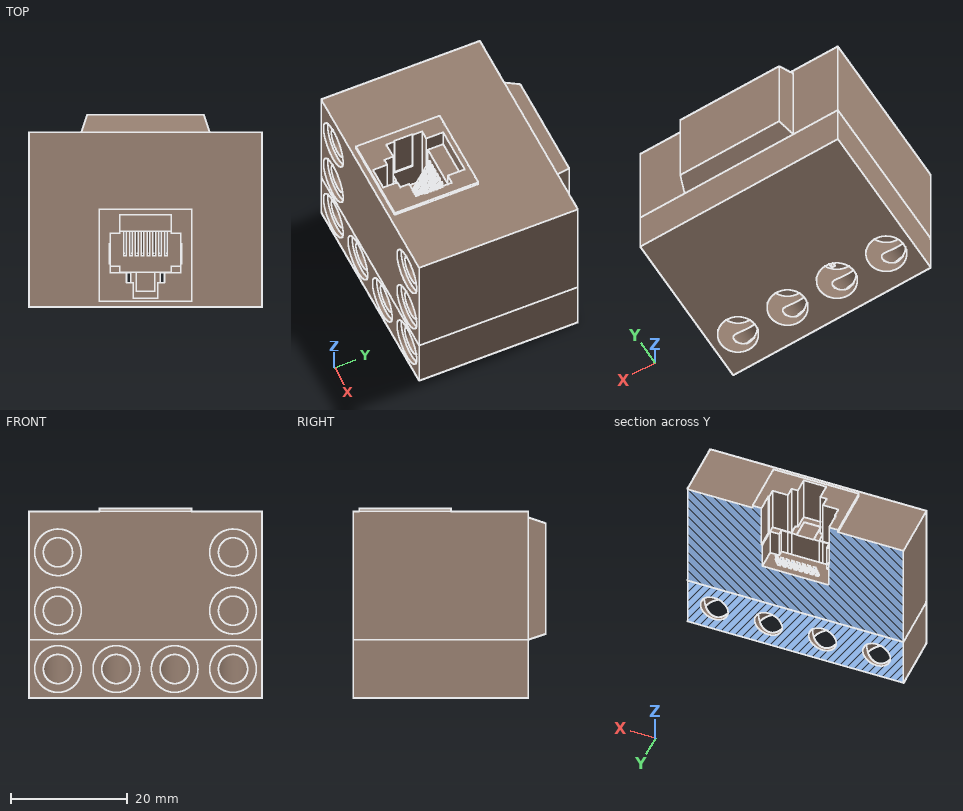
import cadquery as cq
import math

width = 40.0
depth = 30.0
base_height = 10.0
housing_height = 22.0
housing_top = base_height + housing_height

plug_width = 22.0
plug_height = 21.0
plug_length = 3.0
plug_inset = 1.0

terminal_pitch = 10.0
terminals_per_row = 4
terminal_margin = terminal_pitch / 2
bore_diameter = 5.0
counterbore_diameter = 8.0
counterbore_depth = 0.8

blind_bore_depth = 8.0
wire_bore_diameter = 7.0
wire_bore_y = 6.4
bore_end_y = 11.0

rim_side = 15.8
rim_front = 1.0
rim_height = 0.5
rim_top = housing_top + rim_height

shelf_half_width = 4.4
shelf_rear = 15.85
shelf_front = 12.95
shelf_depth = 3.35
cavity_half_width = 6.1
cavity_rear = 12.65
cavity_front = 5.9
cavity_depth = 13.9
side_groove_half_width = 6.25
side_groove_front = 7.45
side_groove_rear = 10.9

step_depth = 8.8
corner_step_rear = 7.0
floor_front = 6.0

latch_half_width = 3.25
latch_front = 4.2
window_inner_half_width = 2.55
latch_slot_half_width = 2.1
latch_slot_front = 1.5
latch_slope_rear = 2.7
latch_slope_angle = 3.0
latch_groove_half_width = 1.55
latch_groove_depth = 0.1

contact_count = 8
contact_pitch = 1.0
contact_width = 0.45
contact_front = 8.8
contact_slope = 2.0
contact_thickness = 0.4


def block(half_width, front, rear, bottom, top):
    """Box centred on X = 0, between the given Y and Z limits."""
    size = (2 * half_width, rear - front, top - bottom)
    return cq.Workplane("XY").box(*size, centered=(True, False, False)).translate((0, front, bottom))


def column_x(index):
    """X of a terminal column, counted from the left."""
    return (index - (terminals_per_row - 1) / 2) * terminal_pitch


def front_bore(x, z, bore_depth):
    """Counterbored bore entering the front face."""
    plane = cq.Workplane("XZ", origin=(x, 0, z))
    bore = plane.circle(bore_diameter / 2).extrude(-bore_depth)
    counterbore = plane.circle(counterbore_diameter / 2).extrude(-counterbore_depth)
    return bore.union(counterbore)


def upright_cylinder(x, y):
    """Cylinder of the wire bore size, as tall as the base."""
    return cq.Workplane("XY").center(x, y).circle(wire_bore_diameter / 2).extrude(base_height)


def latch_windows():
    """Two openings beside the latch, running down through both bodies."""
    opening = block(latch_half_width, latch_front, cavity_front, 0, rim_top)
    return opening.cut(block(window_inner_half_width, latch_front, cavity_front, 0, rim_top))


def latch_recess():
    """T-shaped latch recess whose floor dips at the front end, with a shallow middle groove."""
    floor = rim_top - step_depth
    wide = block(latch_half_width, latch_front, cavity_front, floor, rim_top)
    groove = block(latch_groove_half_width, latch_slope_rear, floor_front, floor - latch_groove_depth, floor)
    slope_drop = (latch_slope_rear - latch_slot_front) * math.tan(math.radians(latch_slope_angle))
    narrow = (
        cq.Workplane("YZ", origin=(-latch_slot_half_width, 0, 0))
        .moveTo(latch_slot_front, rim_top)
        .lineTo(latch_slot_front, floor - slope_drop)
        .lineTo(latch_slope_rear, floor)
        .lineTo(latch_front, floor)
        .lineTo(latch_front, rim_top)
        .close()
        .extrude(2 * latch_slot_half_width)
    )
    return wide.union(narrow).union(groove)


def socket_cavity():
    """Opening for the modular plug, with the contact shelf at its rear."""
    floor = rim_top - cavity_depth
    step = rim_top - step_depth
    shelf = block(shelf_half_width, shelf_front, shelf_rear, rim_top - shelf_depth, rim_top)
    neck = block(shelf_half_width, cavity_rear, shelf_front, floor, rim_top)
    main = block(cavity_half_width, corner_step_rear, cavity_rear, floor, rim_top)
    stepped_front = block(cavity_half_width, cavity_front, corner_step_rear, step, rim_top)
    floor_tongue = block(shelf_half_width, floor_front, corner_step_rear, floor, rim_top)
    side_grooves = block(side_groove_half_width, side_groove_front, side_groove_rear, step, rim_top)
    cavity = main
    for pocket in (shelf, neck, stepped_front, floor_tongue, side_grooves, latch_recess()):
        cavity = cavity.union(pocket)
    return cavity


def rear_plug():
    """Tapered boss on the rear face, its widest edge level with the housing underside."""
    return (
        cq.Workplane("XZ", origin=(0, depth, base_height + plug_height / 2))
        .rect(plug_width, plug_height)
        .workplane(offset=-plug_length)
        .rect(plug_width - 2 * plug_inset, plug_height - 2 * plug_inset)
        .loft()
    )


def make_base():
    """Lower terminal block: front bores cross upright wire bores and end on a convex face."""
    base = block(width / 2, 0, depth, 0, base_height)
    for index in range(terminals_per_row):
        x = column_x(index)
        bore = front_bore(x, terminal_margin, bore_end_y + wire_bore_diameter / 2)
        base = base.cut(bore.cut(upright_cylinder(x, bore_end_y + wire_bore_diameter / 2)))
        base = base.cut(upright_cylinder(x, wire_bore_y))
    return base.cut(latch_windows())


def make_housing():
    """Upper housing with the socket, two pairs of side terminals and the rear plug."""
    housing = block(width / 2, 0, depth, base_height, housing_top)
    housing = housing.union(rear_plug())
    housing = housing.union(block(rim_side / 2, rim_front, rim_front + rim_side, housing_top, rim_top))
    for index in (0, terminals_per_row - 1):
        for row in (0, 1):
            row_z = base_height + terminal_margin + row * terminal_pitch
            housing = housing.cut(front_bore(column_x(index), row_z, blind_bore_depth))
    return housing.cut(socket_cavity()).cut(latch_windows())


def make_contact(x):
    """One contact strip, ending flush on the shelf wall and on the cavity floor."""
    floor = rim_top - cavity_depth
    top = floor + contact_slope * (shelf_front - contact_front)
    run = contact_thickness * math.hypot(1, contact_slope) / contact_slope
    return (
        cq.Workplane("YZ", origin=(x - contact_width / 2, 0, 0))
        .moveTo(contact_front, floor)
        .lineTo(shelf_front, top)
        .lineTo(shelf_front, top - contact_slope * run)
        .lineTo(contact_front + run, floor)
        .close()
        .extrude(contact_width)
    )


base = make_base().solids()
housing = make_housing().solids()
contacts = []
for index in range(contact_count):
    contact_x = (index - (contact_count - 1) / 2) * contact_pitch
    contacts.append(make_contact(contact_x).val())

result = cq.Compound.makeCompound([base.val(), housing.val(), *contacts])